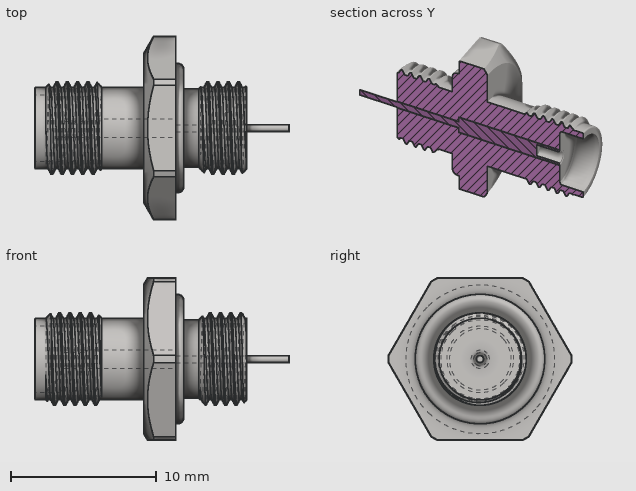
import cadquery as cq
import math

front_thread_start = 0.75
front_thread_end = 4.59
hex_front = 7.46
hex_rear = 9.68
collar_rear = 10.22
rear_thread_start = 11.25
rear_end = 14.53
overall_length = 17.44

barrel_radius = 2.8
neck_radius = 2.7
mouth_fillet = 0.1
bore_radius = 2.28
bore_floor_radius = 2.11
bore_straight_depth = 1.75
bore_depth = 1.83

across_flats = 11.13
across_corners = 12.57
hex_bevel_radius = 5.11
hex_bevel_angle = 30.0
collar_radius = 4.45
collar_fillet = 0.45

thread_radius = 3.17
pitch = 0.706
ridge_root_width = 0.49
ridge_crest_width = 0.1
ridge_overlap = 0.05
crest_clearance = 0.17
front_crest = 2.75
rear_crest = 12.38

contact_radius = 0.63
contact_recess = 0.03
contact_front = bore_depth + contact_recess
contact_step = hex_rear
socket_radius = 0.45
socket_depth = 1.75
pin_radius = 0.25


def rod(start, end, radius):
    """Cylinder along X between two stations."""
    return cq.Workplane("YZ", origin=(start, 0, 0)).circle(radius).extrude(end - start)


def turned(points):
    """Body of revolution about X from (x, radius) points."""
    return cq.Workplane("XY").polyline(points).close().revolve(360, (0, 0, 0), (1, 0, 0))


def helical_ridge(start, turns):
    """Right-handed trapezoidal ridge along X, starting on the -Z side."""
    path = cq.Wire.makeHelix(pitch, pitch * turns, barrel_radius)
    root = barrel_radius - ridge_overlap
    slope = (ridge_root_width - ridge_crest_width) / 2 / (thread_radius - barrel_radius)
    root_half_width = ridge_root_width / 2 + slope * ridge_overlap
    crest_half_width = ridge_crest_width / 2
    ridge = (
        cq.Workplane("XZ")
        .polyline([
            (root, -root_half_width),
            (thread_radius, -crest_half_width),
            (thread_radius, crest_half_width),
            (root, root_half_width),
        ])
        .close()
        .sweep(cq.Workplane(obj=path), isFrenet=True)
    )
    return ridge.rotate((0, 0, 0), (0, 1, 0), 90).translate((start, 0, 0))


def threaded_section(start, end, start_radius, crest):
    """Threaded length whose ends are trimmed by 45 degree cones."""
    turns_before = math.ceil((crest - start) / pitch) + 1
    turns = turns_before + math.ceil((end - crest) / pitch) + 1
    envelope_radius = thread_radius + crest_clearance
    envelope = turned([
        (start, 0),
        (start, start_radius),
        (start + envelope_radius - start_radius, envelope_radius),
        (end - (envelope_radius - barrel_radius), envelope_radius),
        (end, barrel_radius),
        (end, 0),
    ])
    ridge_start = crest - turns_before * pitch
    ridge_end = ridge_start + turns * pitch
    core = rod(ridge_start - pitch, ridge_end + pitch, barrel_radius)
    return core.union(helical_ridge(ridge_start, turns)).intersect(envelope)


def hex_flange():
    """Hexagon with trimmed corners and a bevelled front."""
    length = hex_rear - hex_front
    corner_radius = across_corners / 2
    bevel_length = (corner_radius - hex_bevel_radius) * math.tan(math.radians(hex_bevel_angle))
    full_corners = across_flats / math.cos(math.pi / 6)
    hexagon = cq.Workplane("YZ", origin=(hex_front, 0, 0)).polygon(6, full_corners).extrude(length)
    envelope = turned([
        (hex_front, 0),
        (hex_front, hex_bevel_radius),
        (hex_front + bevel_length, corner_radius),
        (hex_rear, corner_radius),
        (hex_rear, 0),
    ])
    return hexagon.intersect(envelope)


def make_housing():
    barrel = rod(0, hex_front, barrel_radius).faces("<X").edges().fillet(mouth_fillet)
    collar = rod(hex_rear, collar_rear, collar_radius).faces(">X").edges().fillet(collar_fillet)
    neck = rod(collar_rear, rear_thread_start, neck_radius)
    front_thread = threaded_section(front_thread_start, front_thread_end, barrel_radius, front_crest)
    rear_thread = threaded_section(rear_thread_start, rear_end, neck_radius, rear_crest)
    bore = turned([
        (0, 0),
        (0, bore_radius),
        (bore_straight_depth, bore_radius),
        (bore_depth, bore_floor_radius),
        (bore_depth, 0),
    ])
    return (
        barrel.union(hex_flange())
        .union(collar)
        .union(neck)
        .union(front_thread)
        .union(rear_thread)
        .cut(bore)
        .cut(rod(bore_depth, contact_step, contact_radius))
        .cut(rod(contact_step, rear_end, pin_radius))
    )


def make_contact():
    """Socket at the front, stepping down to the solder pin at the rear."""
    body = rod(contact_front, contact_step, contact_radius)
    pin = rod(contact_step, overall_length, pin_radius)
    socket = rod(contact_front, contact_front + socket_depth, socket_radius)
    return body.union(pin).cut(socket)


housing = make_housing()
contact = make_contact()

result = cq.Compound.makeCompound([housing.val(), contact.val()])